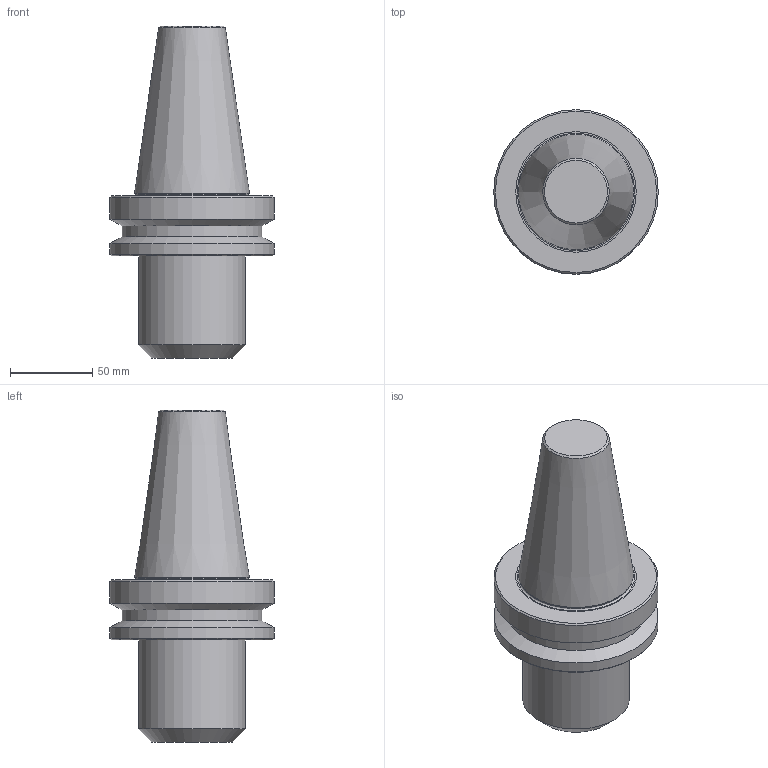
import cadquery as cq
import math


gauge_height = 100.0
taper_length = 101.8
taper_ratio = 7.0 / 24.0
gauge_radius = 69.85 / 2
taper_end_chamfer = 1.0

neck_radius = 69.25 / 2
face_groove_width = 2.0
face_groove_depth = 0.25
neck_fillet = 1.0

flange_radius = 100.0 / 2
flange_top = gauge_height - 1.5
flange_bottom = gauge_height - 38.0
flange_chamfer = 1.0
v_groove_floor_radius = 85.0 / 2
v_groove_floor_width = 6.75
v_groove_opening_width = 14.9
v_groove_center = gauge_height - 23.05

nose_radius = 65.0 / 2
nose_chamfer = 8.0

shank_top = gauge_height + taper_length
shank_top_radius = gauge_radius - taper_length * taper_ratio / 2


def revolve_profile(points):
    """Turn a closed (radius, height) outline around the Z axis."""
    return cq.Workplane("XZ").polyline(points).close().revolve(360, (0, 0, 0), (0, 1, 0))


def cylinder(radius, bottom, top):
    return cq.Workplane("XY").workplane(offset=bottom).circle(radius).extrude(top - bottom)


def make_shank():
    taper = revolve_profile([
        (0, gauge_height),
        (gauge_radius, gauge_height),
        (shank_top_radius, shank_top),
        (0, shank_top),
    ])
    return taper.faces(">Z").chamfer(taper_end_chamfer)


def make_neck():
    """Neck that flares through a concave fillet into the floor of the face groove."""
    floor = flange_top - face_groove_depth
    fillet_mid_offset = neck_fillet * (1 - math.sqrt(0.5))
    outline = (
        cq.Workplane("XZ")
        .moveTo(0, floor)
        .lineTo(neck_radius + neck_fillet, floor)
        .threePointArc(
            (neck_radius + fillet_mid_offset, floor + fillet_mid_offset),
            (neck_radius, floor + neck_fillet),
        )
        .lineTo(neck_radius, gauge_height)
        .lineTo(0, gauge_height)
        .close()
    )
    return outline.revolve(360, (0, 0, 0), (0, 1, 0))


def make_v_groove_cutter():
    half_floor = v_groove_floor_width / 2
    half_opening = v_groove_opening_width / 2
    return revolve_profile([
        (v_groove_floor_radius, v_groove_center - half_floor),
        (flange_radius, v_groove_center - half_opening),
        (flange_radius, v_groove_center + half_opening),
        (v_groove_floor_radius, v_groove_center + half_floor),
    ])


def make_face_groove_cutter():
    groove_bottom = flange_top - face_groove_depth
    outer = cylinder(neck_radius + face_groove_width, groove_bottom, flange_top)
    return outer.cut(cylinder(neck_radius, groove_bottom, flange_top))


def make_flange():
    flange = cylinder(flange_radius, flange_bottom, flange_top)
    flange = flange.faces("<Z or >Z").chamfer(flange_chamfer)
    return flange.cut(make_v_groove_cutter()).cut(make_face_groove_cutter())


def make_nose():
    return cylinder(nose_radius, 0, flange_bottom).faces("<Z").chamfer(nose_chamfer)


result = make_nose().union(make_flange()).union(make_neck()).union(make_shank())